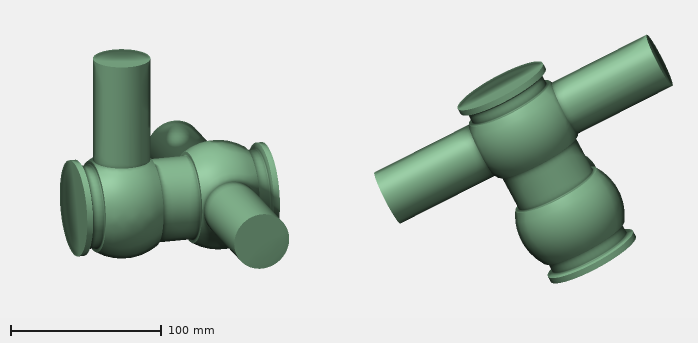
import cadquery as cq
import math

body_length = 133.5
barrel_diameter = 55.7

flange_diameter = 64.2
rim_thickness = 4.0
taper_angle = math.radians(15)
flange_fillet = 0.8

bulge_radius = 36.5
bulge_half_width = 20.0
bulge_fillet = 0.8
bulge_offset = body_length / 4

pipe_diameter = 38.1
pipe_reach = 102.0


def revolve_about_y(profile):
    return profile.close().revolve(360, (0, 0, 0), (0, 1, 0))


def make_bulge_fillet(face_y, direction):
    """Concave ring on the barrel, extending from a flat cut of a bulge in the given Y direction."""
    barrel_radius = barrel_diameter / 2
    center_x = barrel_radius + bulge_fillet
    center_y = face_y + direction * bulge_fillet
    diagonal = bulge_fillet * math.sqrt(0.5)
    return revolve_about_y(
        cq.Workplane("XY")
        .moveTo(0, face_y)
        .lineTo(center_x, face_y)
        .threePointArc(
            (center_x - diagonal, center_y - direction * diagonal),
            (barrel_radius, center_y),
        )
        .lineTo(0, center_y)
    )


def make_flange(side):
    """End flange at the -Y (side = -1) or +Y (side = 1) end of the barrel."""
    barrel_radius = barrel_diameter / 2
    rim_radius = flange_diameter / 2
    outer_face = side * body_length / 2
    rim_back = outer_face - side * rim_thickness

    fillet_center_x = barrel_radius + flange_fillet
    taper_end_x = fillet_center_x - flange_fillet * math.sin(taper_angle)
    taper_end_y = rim_back - side * (rim_radius - taper_end_x) * math.tan(taper_angle)
    fillet_center_y = taper_end_y - side * flange_fillet * math.cos(taper_angle)
    middle_angle = (taper_angle + math.pi / 2) / 2
    fillet_middle = (
        fillet_center_x - flange_fillet * math.sin(middle_angle),
        fillet_center_y + side * flange_fillet * math.cos(middle_angle),
    )
    return revolve_about_y(
        cq.Workplane("XY")
        .moveTo(0, outer_face)
        .lineTo(rim_radius, outer_face)
        .lineTo(rim_radius, rim_back)
        .lineTo(taper_end_x, taper_end_y)
        .threePointArc(fillet_middle, (barrel_radius, fillet_center_y))
        .lineTo(0, fillet_center_y)
    )


def make_bulge(center_y):
    """Sphere cut flat at both ends, with a fillet down to the barrel at each cut."""
    edge_radius = math.sqrt(bulge_radius**2 - bulge_half_width**2)
    bulge = revolve_about_y(
        cq.Workplane("XY")
        .moveTo(0, center_y - bulge_half_width)
        .lineTo(edge_radius, center_y - bulge_half_width)
        .threePointArc((bulge_radius, center_y), (edge_radius, center_y + bulge_half_width))
        .lineTo(0, center_y + bulge_half_width)
    )
    for end in (-1, 1):
        bulge = bulge.union(make_bulge_fillet(center_y + end * bulge_half_width, end))
    return bulge


def make_pipe(center_y, direction):
    """Solid pipe from the barrel axis out along the given direction."""
    return cq.Workplane(
        cq.Solid.makeCylinder(
            pipe_diameter / 2, pipe_reach, cq.Vector(0, center_y, 0), cq.Vector(*direction)
        )
    )


result = cq.Workplane("XZ").circle(barrel_diameter / 2).extrude(body_length / 2, both=True)

for side in (-1, 1):
    result = result.union(make_flange(side))
    result = result.union(make_bulge(side * bulge_offset))

result = result.union(make_pipe(-bulge_offset, (0, 0, 1)))
for x_direction in (-1, 1):
    result = result.union(make_pipe(bulge_offset, (x_direction, 0, 0)))